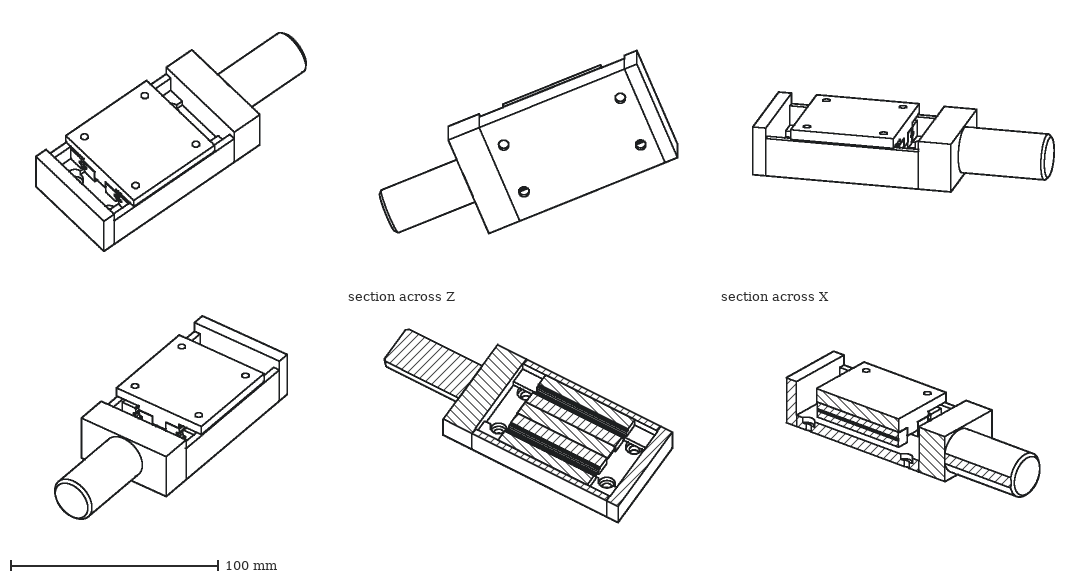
import cadquery as cq


stage_width = 50.9
base_length = 76.0
end_height = 24.6

wall_top = 19.2
wall_thickness = 3.4
channel_half_width = stage_width / 2 - wall_thickness
floor_height = 6.4
ledge_edge = 13.4

mount_spacing_x = 25.4
mount_spacing_y = 61.0
mount_diameter = 5.0
counterbore_diameter = 8.2
counterbore_seat = 3.5

rail_width = 8.0
rail_height = 8.0
rail_length = 50.6
rail_top = 17.4
rail_bottom = rail_top - rail_height
rail_middle = rail_top - rail_height / 2
rail_chamfer = 0.5
groove_depth = 1.1
relief_depth = 1.7
relief_width = 0.8

carriage_length = 51.1
carriage_top = 24.9
carriage_thickness = 5.0
carriage_underside = carriage_top - carriage_thickness
web_half_width = 4.0
web_bottom = 13.0
seat_half_width = web_half_width + rail_width
carriage_hole_spacing = 38.1
carriage_hole_diameter = 3.5

end_plate_thickness = 6.5
block_thickness = 16.2
barrel_diameter = 22.3
barrel_length = 42.5
barrel_axis_height = 12.7
barrel_chamfer = 1.4


def along_y(profile, length):
    """Extrude an XZ profile of the given length, centred on Y = 0."""
    return cq.Workplane("XZ").polyline(profile).close().extrude(length / 2, both=True)


def vertical_cylinders(points, diameter, bottom, top):
    return cq.Workplane("XY", origin=(0, 0, bottom)).pushPoints(points).circle(diameter / 2).extrude(top - bottom)


def make_base():
    half_width = stage_width / 2
    body = along_y(
        [
            (-half_width, 0),
            (half_width, 0),
            (half_width, wall_top),
            (channel_half_width, wall_top),
            (channel_half_width, rail_bottom),
            (ledge_edge, rail_bottom),
            (ledge_edge, floor_height),
            (-ledge_edge, floor_height),
            (-ledge_edge, rail_bottom),
            (-channel_half_width, rail_bottom),
            (-channel_half_width, wall_top),
            (-half_width, wall_top),
        ],
        base_length,
    )
    for side, counterbore_top in ((-1, rail_bottom), (1, floor_height)):
        centers = [(side * mount_spacing_x / 2, end * mount_spacing_y / 2) for end in (-1, 1)]
        body = body.cut(vertical_cylinders(centers, mount_diameter, 0, counterbore_seat))
        body = body.cut(vertical_cylinders(centers, counterbore_diameter, counterbore_seat, counterbore_top))
    return body


def make_rail(mount_x, facing):
    """Rail with its flat back at mount_x and its V groove, with a relief slot, facing +X (1) or -X (-1)."""
    relief_half_width = relief_width / 2
    groove_floor = rail_width - groove_depth + relief_half_width
    relief_floor = rail_width - relief_depth
    profile = [
        (0, rail_bottom),
        (rail_width - rail_chamfer, rail_bottom),
        (rail_width, rail_bottom + rail_chamfer),
        (rail_width, rail_middle - groove_depth),
        (groove_floor, rail_middle - relief_half_width),
        (relief_floor, rail_middle - relief_half_width),
        (relief_floor, rail_middle + relief_half_width),
        (groove_floor, rail_middle + relief_half_width),
        (rail_width, rail_middle + groove_depth),
        (rail_width, rail_top - rail_chamfer),
        (rail_width - rail_chamfer, rail_top),
        (0, rail_top),
    ]
    return along_y([(mount_x + facing * depth, z) for depth, z in profile], rail_length)


def make_carriage():
    half_width = stage_width / 2
    right_side = [
        (web_half_width, web_bottom),
        (web_half_width, rail_top),
        (seat_half_width, rail_top),
        (seat_half_width, carriage_underside),
        (half_width, carriage_underside),
        (half_width, carriage_top),
    ]
    left_side = [(-x, z) for x, z in reversed(right_side)]
    holes = (
        cq.Workplane("XY", origin=(0, 0, carriage_underside))
        .rarray(carriage_hole_spacing, carriage_hole_spacing, 2, 2)
        .circle(carriage_hole_diameter / 2)
        .extrude(carriage_thickness)
    )
    return along_y(right_side + left_side, carriage_length).cut(holes)


def make_end_piece(start_y, thickness):
    """Full-width upright slab whose smallest Y is at start_y."""
    slab = cq.Workplane("XY").box(stage_width, thickness, end_height, centered=(True, False, False))
    return slab.translate((0, start_y, 0))


def make_barrel():
    start_y = base_length / 2 + block_thickness
    return (
        cq.Workplane("XZ", origin=(0, start_y, barrel_axis_height))
        .circle(barrel_diameter / 2)
        .extrude(-barrel_length)
        .faces(">Y")
        .chamfer(barrel_chamfer)
    )


base = make_base()
carriage = make_carriage()
end_plate = make_end_piece(-base_length / 2 - end_plate_thickness, end_plate_thickness)
drive_block = make_end_piece(base_length / 2, block_thickness)
barrel = make_barrel()

rails = []
for side in (-1, 1):
    rails.append(make_rail(side * channel_half_width, -side).val())
    rails.append(make_rail(side * web_half_width, side).val())

result = cq.Compound.makeCompound(
    [base.val(), carriage.val(), end_plate.val(), drive_block.val(), barrel.val(), *rails]
)